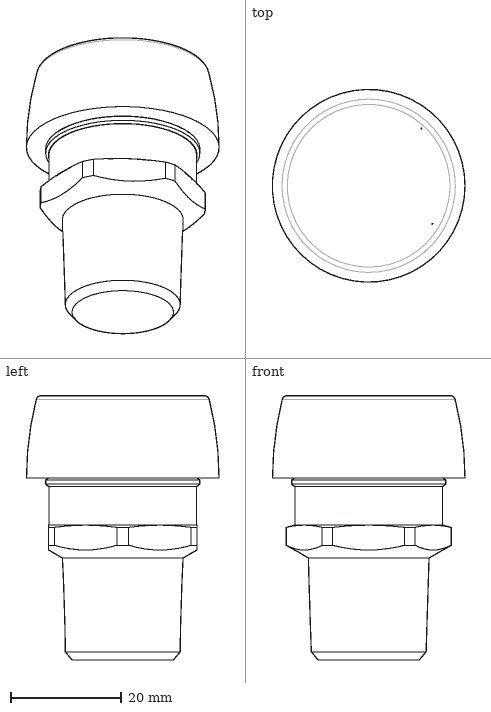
import cadquery as cq
import math

spigot_height = 18.5
spigot_tip_radius = 10.4
spigot_taper = 1 / 32
spigot_root_radius = spigot_tip_radius + spigot_taper * spigot_height
tip_chamfer_height = 1.5
tip_face_radius = 9.2

hex_across_flats = 27.0
hex_corner_radius = 15.0
hex_top = 24.5
hex_top_angle = 15.0
hex_bottom_angle = 30.0

neck_radius = 13.4
collar_bottom = 31.5
collar_radius = 14.0
collar_chamfer_width = 0.5
collar_lower_chamfer_height = 0.4
collar_upper_chamfer_height = 0.3

cap_bottom = 33.0
total_height = 48.0
cap_radius = 17.5
cap_side_radius = 58.0
cap_edge_fillet = 1.0


def cap_side_point(height):
    """Point on the bulged cap side, which stands upright at the cap's lower rim."""
    rise = height - cap_bottom
    inset = cap_side_radius - math.sqrt(cap_side_radius**2 - rise**2)
    return (cap_radius - inset, height)


def revolve_profile(outline):
    """Turn a closed (radius, height) outline about the Z axis."""
    return outline.close().revolve(360, (0, 0, 0), (0, 1, 0))


def make_spigot():
    chamfer_radius = spigot_tip_radius + spigot_taper * tip_chamfer_height
    outline = (
        cq.Workplane("XZ")
        .lineTo(tip_face_radius, 0)
        .lineTo(chamfer_radius, tip_chamfer_height)
        .lineTo(spigot_root_radius, spigot_height)
        .lineTo(0, spigot_height)
    )
    return revolve_profile(outline)


def make_hex():
    """Hexagon with corners on the X axis, trimmed by a turned blank with conical ends."""
    bottom_rise = (hex_corner_radius - spigot_root_radius) * math.tan(math.radians(hex_bottom_angle))
    top_drop = (hex_corner_radius - neck_radius) * math.tan(math.radians(hex_top_angle))
    outline = (
        cq.Workplane("XZ")
        .moveTo(0, spigot_height)
        .lineTo(spigot_root_radius, spigot_height)
        .lineTo(hex_corner_radius, spigot_height + bottom_rise)
        .lineTo(hex_corner_radius, hex_top - top_drop)
        .lineTo(neck_radius, hex_top)
        .lineTo(0, hex_top)
    )
    corner_diameter = hex_across_flats / math.cos(math.pi / 6)
    prism = (
        cq.Workplane("XY", origin=(0, 0, spigot_height))
        .polygon(6, corner_diameter)
        .extrude(hex_top - spigot_height)
    )
    return revolve_profile(outline).intersect(prism)


def make_neck_and_collar():
    rim_radius = collar_radius - collar_chamfer_width
    outline = (
        cq.Workplane("XZ")
        .moveTo(0, hex_top)
        .lineTo(neck_radius, hex_top)
        .lineTo(neck_radius, collar_bottom)
        .lineTo(rim_radius, collar_bottom)
        .lineTo(collar_radius, collar_bottom + collar_lower_chamfer_height)
        .lineTo(collar_radius, cap_bottom - collar_upper_chamfer_height)
        .lineTo(rim_radius, cap_bottom)
        .lineTo(0, cap_bottom)
    )
    return revolve_profile(outline)


def make_cap():
    middle_height = (cap_bottom + total_height) / 2
    outline = (
        cq.Workplane("XZ")
        .moveTo(0, cap_bottom)
        .lineTo(cap_radius, cap_bottom)
        .threePointArc(cap_side_point(middle_height), cap_side_point(total_height))
        .lineTo(0, total_height)
    )
    return revolve_profile(outline).faces(">Z").edges().fillet(cap_edge_fillet)


result = make_spigot().union(make_hex()).union(make_neck_and_collar()).union(make_cap())